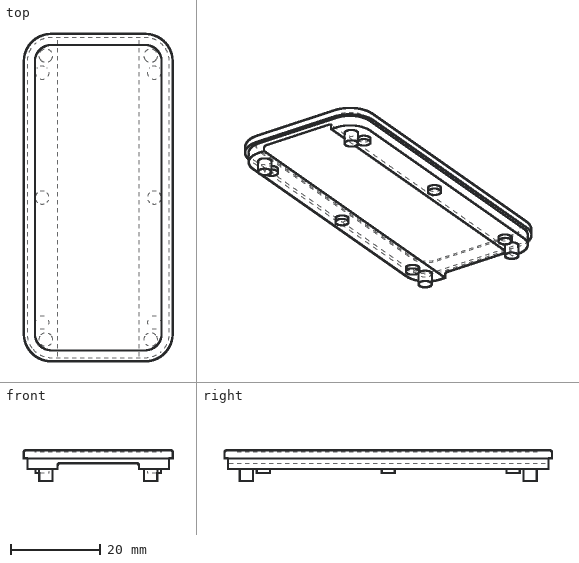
import cadquery as cq

length = 73.4
width = 33.4
height = 6.9

plate_thickness = 1.8
corner_radius = 6.25
top_edge_radius = 0.5

recess_inset = 2.5
recess_depth = 0.4

body_inset = 0.8
body_thickness = 2.4

channel_width = 18.2
channel_depth = 1.3
channel_corner_radius = 0.5

peg_diameter = 3.0
pin_x = 11.75
pin_y = 31.8
pad_height = 0.9
pad_x = 12.55
pad_y = 28.0

plate_bottom = height - plate_thickness
body_bottom = plate_bottom - body_thickness
pin_height = body_bottom


def rounded_slab(inset, bottom, thickness):
    """Slab set in evenly from the outer outline, with concentric corners."""
    return (
        cq.Workplane("XY", origin=(0, 0, bottom))
        .rect(width - 2 * inset, length - 2 * inset)
        .extrude(thickness)
        .edges("|Z")
        .fillet(corner_radius - inset)
    )


def underside_channel():
    """Full-length channel with rounded upper corners."""
    return (
        cq.Workplane("XY", origin=(0, 0, body_bottom))
        .rect(channel_width, length)
        .extrude(channel_depth)
        .edges("|Y and >Z")
        .fillet(channel_corner_radius)
    )


def pegs(x, rows, peg_height):
    """Round pegs hanging from the body, in pairs mirrored about the YZ plane."""
    centers = [(side * x, y) for side in (-1, 1) for y in rows]
    return (
        cq.Workplane("XY", origin=(0, 0, body_bottom))
        .pushPoints(centers)
        .circle(peg_diameter / 2)
        .extrude(-peg_height)
    )


plate = rounded_slab(0, plate_bottom, plate_thickness).faces(">Z").edges().fillet(top_edge_radius)
body = rounded_slab(body_inset, body_bottom, body_thickness)
recess = rounded_slab(recess_inset, height - recess_depth, recess_depth)
pins = pegs(pin_x, (-pin_y, pin_y), pin_height)
pads = pegs(pad_x, (-pad_y, 0, pad_y), pad_height)

result = plate.union(body).cut(recess).cut(underside_channel()).union(pins).union(pads)